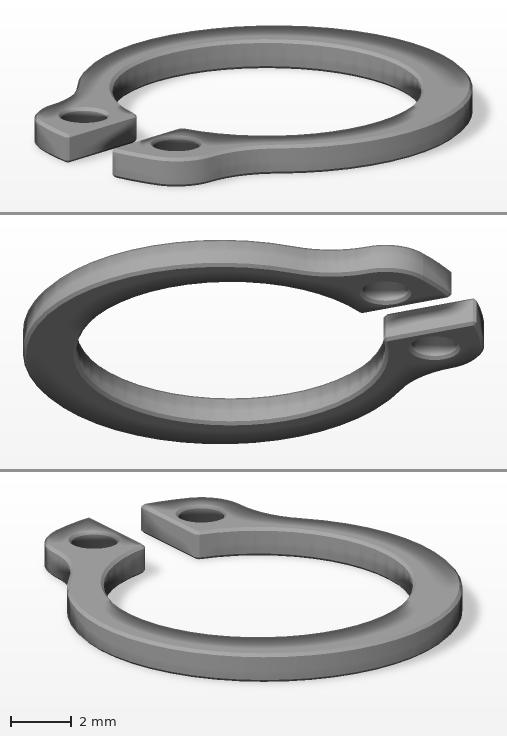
import cadquery as cq
import math

thickness = 1.0
bore_radius = 5.1
rim_radius = 6.52
rim_offset = 0.36
gap_half_width = 1.0
hole_diameter = 1.5
hole_x = 2.15
lug_radius = 1.64
lug_tip_radius = 8.36
edge_chamfer = 0.1

hole_distance = lug_tip_radius - lug_radius
hole_y = -math.sqrt(hole_distance**2 - hole_x**2)

lug_side_x = hole_x + lug_radius
neck_drop = rim_offset - hole_y
neck_radius = (lug_side_x**2 + neck_drop**2 - rim_radius**2) / (2 * (rim_radius - lug_side_x))
neck_x = lug_side_x + neck_radius


def point_between(start, end, distance):
    """Return the point at a distance from start along the line towards end."""
    fraction = distance / math.dist(start, end)
    return (
        start[0] + fraction * (end[0] - start[0]),
        start[1] + fraction * (end[1] - start[1]),
    )


def arc_middle(center, radius, start, end):
    """Return the middle of the shorter arc between two points on a circle."""
    chord_middle = ((start[0] + end[0]) / 2, (start[1] + end[1]) / 2)
    return point_between(center, chord_middle, radius)


def mirrored(point):
    return (-point[0], point[1])


def ring_profile():
    bore_center = (0, 0)
    rim_center = (0, rim_offset)
    hole_center = (hole_x, hole_y)
    neck_center = (neck_x, hole_y)

    bore_end = (gap_half_width, -math.sqrt(bore_radius**2 - gap_half_width**2))
    lug_tip = (gap_half_width, -math.sqrt(lug_tip_radius**2 - gap_half_width**2))
    corner_start = point_between(bore_center, hole_center, lug_tip_radius)
    lug_side = (lug_side_x, hole_y)
    rim_end = point_between(rim_center, neck_center, rim_radius)

    tip_middle = arc_middle(bore_center, lug_tip_radius, lug_tip, corner_start)
    corner_middle = arc_middle(hole_center, lug_radius, corner_start, lug_side)
    neck_middle = arc_middle(neck_center, neck_radius, lug_side, rim_end)

    return (
        cq.Workplane("XY", origin=(0, 0, -thickness / 2))
        .moveTo(*bore_end)
        .lineTo(*lug_tip)
        .threePointArc(tip_middle, corner_start)
        .threePointArc(corner_middle, lug_side)
        .threePointArc(neck_middle, rim_end)
        .threePointArc((0, rim_offset + rim_radius), mirrored(rim_end))
        .threePointArc(mirrored(neck_middle), mirrored(lug_side))
        .threePointArc(mirrored(corner_middle), mirrored(corner_start))
        .threePointArc(mirrored(tip_middle), mirrored(lug_tip))
        .lineTo(*mirrored(bore_end))
        .threePointArc((0, bore_radius), bore_end)
        .close()
    )


ring = ring_profile().extrude(thickness)

gap_corners = cq.selectors.BoxSelector(
    (-gap_half_width - edge_chamfer, -lug_tip_radius, -thickness),
    (gap_half_width + edge_chamfer, 0, thickness),
)
ring = ring.edges("|Z").edges(gap_corners).chamfer(edge_chamfer)

plier_holes = (
    cq.Workplane("XY", origin=(0, 0, -thickness / 2))
    .pushPoints([(-hole_x, hole_y), (hole_x, hole_y)])
    .circle(hole_diameter / 2)
    .extrude(thickness)
)
ring = ring.cut(plier_holes)

result = ring.faces("|Z").edges().chamfer(edge_chamfer)